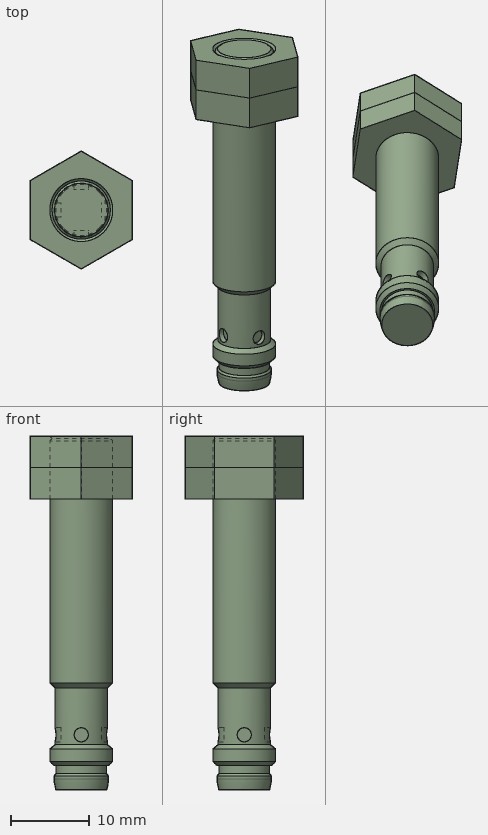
import cadquery as cq
import math

total_height = 45.0
thread_diameter = 8.0
tip_diameter = 6.8
shank_diameter = 6.7

across_flats = 13.0
nut_height = 4.0
nut_count = 2
nut_bore_diameter = 6.9

thread_bottom = 13.65

collar_bottom = 3.1
collar_top = 5.75
collar_chamfer = 0.55

neck_diameter = 6.5
lip_diameter = 6.95
lip_slope_top = 2.05
lip_top = 1.8
lip_bottom = 1.4

window_diameter = 1.8
window_height = 7.0
window_depth = 0.75
window_count = 4

thread_radius = thread_diameter / 2
shank_radius = shank_diameter / 2
neck_radius = neck_diameter / 2
lip_radius = lip_diameter / 2
thread_chamfer = thread_radius - shank_radius
tip_chamfer = (thread_diameter - tip_diameter) / 2


def make_stem_blank():
    """Turned stem: bulged plug, neck, collar, shank and thread chamfered at both ends."""
    collar_edge_radius = thread_radius - collar_chamfer

    bulge_inset = lip_radius - neck_radius
    bulge_radius = (lip_bottom**2 + bulge_inset**2) / (2 * bulge_inset)
    half_angle = math.asin(lip_bottom / bulge_radius) / 2
    bulge_middle = (
        lip_radius - bulge_radius * (1 - math.cos(half_angle)),
        lip_bottom - bulge_radius * math.sin(half_angle),
    )

    profile = (
        cq.Workplane("XZ")
        .lineTo(neck_radius, 0)
        .threePointArc(bulge_middle, (lip_radius, lip_bottom))
        .lineTo(lip_radius, lip_top)
        .lineTo(neck_radius, lip_slope_top)
        .lineTo(neck_radius, collar_bottom)
        .lineTo(collar_edge_radius, collar_bottom)
        .lineTo(thread_radius, collar_bottom + collar_chamfer)
        .lineTo(thread_radius, collar_top - collar_chamfer)
        .lineTo(shank_radius, collar_top)
        .lineTo(shank_radius, thread_bottom - thread_chamfer)
        .lineTo(thread_radius, thread_bottom)
        .lineTo(thread_radius, total_height - tip_chamfer)
        .lineTo(tip_diameter / 2, total_height)
        .lineTo(0, total_height)
        .close()
    )
    return profile.revolve(360, (0, 0), (0, 1))


def cut_windows(stem):
    """Cut flat-bottomed round windows, evenly spaced around the shank."""
    window = (
        cq.Workplane("YZ", origin=(shank_radius - window_depth, 0, window_height))
        .circle(window_diameter / 2)
        .extrude(thread_radius)
    )
    for index in range(window_count):
        angle = index * 360 / window_count
        stem = stem.cut(window.rotate((0, 0, 0), (0, 0, 1), angle))
    return stem


def make_nut(base_height, stem):
    """Hex nut, countersunk at the top, with its bore fitted to the stem."""
    corner_diameter = across_flats / math.cos(math.radians(30))
    countersink_depth = (thread_diameter - nut_bore_diameter) / 2
    return (
        cq.Workplane("XY", origin=(0, 0, base_height))
        .polygon(6, corner_diameter)
        .extrude(nut_height)
        .rotate((0, 0, 0), (0, 0, 1), 30)
        .faces(">Z")
        .workplane(origin=(0, 0, 0))
        .hole(nut_bore_diameter)
        .edges("%CIRCLE and >Z")
        .chamfer(countersink_depth)
        .cut(stem)
    )


stem = cut_windows(make_stem_blank())

nuts = []
for level in range(nut_count):
    nut_base = total_height - (level + 1) * nut_height
    nuts.append(make_nut(nut_base, stem).val())

result = cq.Compound.makeCompound([stem.val(), *nuts])